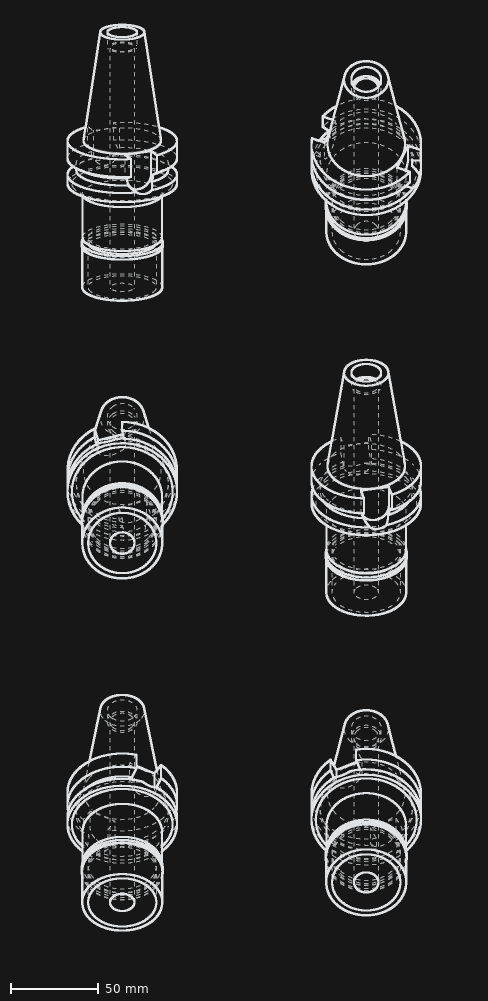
import cadquery as cq

TOTAL_HEIGHT = 155.4
BORE_RADIUS = 7.0

SHANK_BASE_Z = 90.0
SHANK_BASE_RADIUS = 22.2
SHANK_TOP_RADIUS = 12.7
COUNTERBORE_RADIUS = 8.5
COUNTERBORE_DEPTH = 9.2

FLANGE_TOP_Z = 89.2
FLANGE_BOTTOM_Z = 63.1
FLANGE_DIAMETER = 63.0
FLANGE_RADIUS = FLANGE_DIAMETER / 2
GROOVE_UPPER_EDGE_Z = 78.5
GROOVE_LOWER_EDGE_Z = 68.7
GROOVE_CHAMFER_HEIGHT = 2.8
GROOVE_FLOOR_RADIUS = 26.4
CONE_TOP_RADIUS = 28.9

SLOT_WIDTH = 16.3
SLOT_BOTTOM_Z = 67.1
SLOT_FLOOR_X = 22.5

BODY_RADIUS = 22.8
BODY_BOTTOM_Z = 30.3
CONE_BOTTOM_Z = FLANGE_BOTTOM_Z - (CONE_TOP_RADIUS - BODY_RADIUS)
NECK_RADIUS = 19.6

RING_TOP_Z = 27.4
NUT_TOP_Z = 25.2
RING_RADIUS = 23.3
NUT_RADIUS = 23.0


def make_holder():
    """Taper shank, flange, body and neck turned in one piece, bored and slotted."""
    profile = [
        (BORE_RADIUS, 0),
        (NECK_RADIUS, 0),
        (NECK_RADIUS, BODY_BOTTOM_Z),
        (BODY_RADIUS, BODY_BOTTOM_Z),
        (BODY_RADIUS, CONE_BOTTOM_Z),
        (CONE_TOP_RADIUS, FLANGE_BOTTOM_Z),
        (FLANGE_RADIUS, FLANGE_BOTTOM_Z),
        (FLANGE_RADIUS, GROOVE_LOWER_EDGE_Z),
        (GROOVE_FLOOR_RADIUS, GROOVE_LOWER_EDGE_Z + GROOVE_CHAMFER_HEIGHT),
        (GROOVE_FLOOR_RADIUS, GROOVE_UPPER_EDGE_Z - GROOVE_CHAMFER_HEIGHT),
        (FLANGE_RADIUS, GROOVE_UPPER_EDGE_Z),
        (FLANGE_RADIUS, FLANGE_TOP_Z),
        (SHANK_BASE_RADIUS, FLANGE_TOP_Z),
        (SHANK_BASE_RADIUS, SHANK_BASE_Z),
        (SHANK_TOP_RADIUS, TOTAL_HEIGHT),
        (COUNTERBORE_RADIUS, TOTAL_HEIGHT),
        (COUNTERBORE_RADIUS, TOTAL_HEIGHT - COUNTERBORE_DEPTH),
        (BORE_RADIUS, TOTAL_HEIGHT - COUNTERBORE_DEPTH),
    ]
    turned = cq.Workplane("XZ").polyline(profile).close().revolve(360, (0, 0), (0, 1))
    for side in (-1, 1):
        turned = turned.cut(make_slot_cutter(side))
    return turned


def make_slot_cutter(side):
    """Slot with a round lower end, from its flat floor out past the flange rim."""
    slot_radius = SLOT_WIDTH / 2
    arc_z = SLOT_BOTTOM_Z + slot_radius
    return (
        cq.Workplane("YZ", origin=(side * SLOT_FLOOR_X, 0, 0))
        .moveTo(-slot_radius, FLANGE_TOP_Z)
        .lineTo(-slot_radius, arc_z)
        .threePointArc((0, SLOT_BOTTOM_Z), (slot_radius, arc_z))
        .lineTo(slot_radius, FLANGE_TOP_Z)
        .close()
        .extrude(side * FLANGE_RADIUS)
    )


def make_sleeve(radius, bottom_z, top_z):
    """Plain sleeve that fits around the neck of the holder."""
    return (
        cq.Workplane("XY", origin=(0, 0, bottom_z))
        .circle(radius)
        .circle(NECK_RADIUS)
        .extrude(top_z - bottom_z)
    )


holder = make_holder()
nut = make_sleeve(NUT_RADIUS, 0, NUT_TOP_Z)
ring = make_sleeve(RING_RADIUS, NUT_TOP_Z, RING_TOP_Z)

result = cq.Compound.makeCompound([holder.val(), nut.val(), ring.val()])